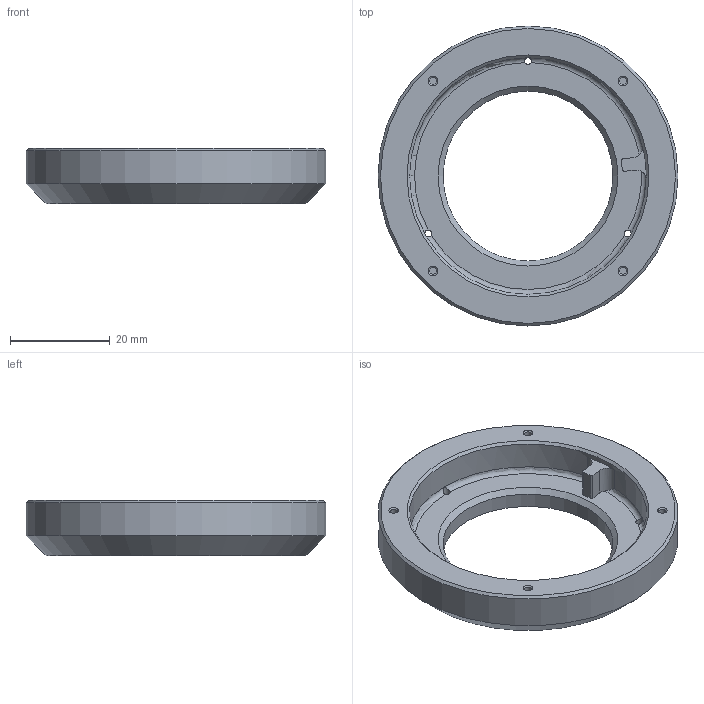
import cadquery as cq
import math

outer_diameter = 60.0
height = 11.05
top_chamfer = 0.5
base_bevel = 4.0

pocket_diameter = 47.4
floor_height = 4.0
pocket_chamfer = 0.5
floor_fillet = 1.0
bore_diameter = 34.0
bore_chamfer = 1.0

screw_spacing = 38.0
screw_diameter = 1.4
screw_countersink_diameter = 1.9
screw_depth = 5.0

vent_count = 3
vent_first_angle = 90.0
vent_circle_radius = 23.0
vent_diameter = 1.4

tab_angle = 6.5
tab_width = 2.5
tab_tip_radius = 18.9
tab_top_drop = 1.5
tab_tip_fillet = 0.4
tab_root_fillet = 2.0

outer_radius = outer_diameter / 2
tab_top_height = height - tab_top_drop
pocket_radius = pocket_diameter / 2
bore_radius = bore_diameter / 2


def make_ring():
    """Revolve the half section of the ring about Z."""
    arc_inset = floor_fillet * (1 - math.sqrt(0.5))
    return (
        cq.Workplane("XZ")
        .moveTo(bore_radius, 0)
        .lineTo(outer_radius - base_bevel, 0)
        .lineTo(outer_radius, base_bevel)
        .lineTo(outer_radius, height - top_chamfer)
        .lineTo(outer_radius - top_chamfer, height)
        .lineTo(pocket_radius + pocket_chamfer, height)
        .lineTo(pocket_radius, height - pocket_chamfer)
        .lineTo(pocket_radius, floor_height + floor_fillet)
        .threePointArc(
            (pocket_radius - arc_inset, floor_height + arc_inset),
            (pocket_radius - floor_fillet, floor_height),
        )
        .lineTo(bore_radius + bore_chamfer, floor_height)
        .lineTo(bore_radius, floor_height - bore_chamfer)
        .close()
        .revolve(360, (0, 0), (0, 1))
    )


def make_tab():
    """Tab with a rounded tip and concave root fillets tangent to the pocket wall."""
    half_width = tab_width / 2

    fillet_center_y = half_width + tab_root_fillet
    fillet_center_x = math.sqrt((pocket_radius - tab_root_fillet) ** 2 - fillet_center_y**2)
    wall_angle = math.atan2(fillet_center_y, fillet_center_x)
    wall_x = pocket_radius * math.cos(wall_angle)
    wall_y = pocket_radius * math.sin(wall_angle)

    middle_angle = (wall_angle - math.pi / 2) / 2
    middle_x = fillet_center_x + tab_root_fillet * math.cos(middle_angle)
    middle_y = fillet_center_y + tab_root_fillet * math.sin(middle_angle)

    buried_x = (pocket_radius + outer_radius) / 2

    tab = (
        cq.Workplane("XY")
        .workplane(offset=floor_height)
        .moveTo(tab_tip_radius, -half_width)
        .lineTo(fillet_center_x, -half_width)
        .threePointArc((middle_x, -middle_y), (wall_x, -wall_y))
        .lineTo(buried_x, -wall_y)
        .lineTo(buried_x, wall_y)
        .lineTo(wall_x, wall_y)
        .threePointArc((middle_x, middle_y), (fillet_center_x, half_width))
        .lineTo(tab_tip_radius, half_width)
        .close()
        .extrude(tab_top_height - floor_height)
    )
    tab = tab.edges("|Z and <X").fillet(tab_tip_fillet)
    return tab.rotate((0, 0, 0), (0, 0, 1), tab_angle)


def cut_screw_holes(body):
    """Flat-bottomed holes with a 45 degree countersink at the top face."""
    countersink_depth = (screw_countersink_diameter - screw_diameter) / 2
    holes = (
        cq.Workplane("XY")
        .workplane(offset=height)
        .rect(screw_spacing, screw_spacing, forConstruction=True)
        .vertices()
        .circle(screw_diameter / 2)
        .extrude(-screw_depth)
    )
    countersink = cq.Solid.makeCone(
        screw_diameter / 2,
        screw_countersink_diameter / 2,
        countersink_depth,
        pnt=cq.Vector(0, 0, height - countersink_depth),
    )
    countersinks = (
        cq.Workplane("XY")
        .rect(screw_spacing, screw_spacing, forConstruction=True)
        .vertices()
        .eachpoint(lambda place: countersink.moved(place))
    )
    return body.cut(holes).cut(countersinks)


def cut_vent_holes(body):
    """Through holes evenly spaced along the floor fillet."""
    vents = (
        cq.Workplane("XY")
        .polarArray(vent_circle_radius, vent_first_angle, 360, vent_count)
        .circle(vent_diameter / 2)
        .extrude(height)
    )
    return body.cut(vents)


result = make_ring().union(make_tab())
result = cut_screw_holes(result)
result = cut_vent_holes(result)